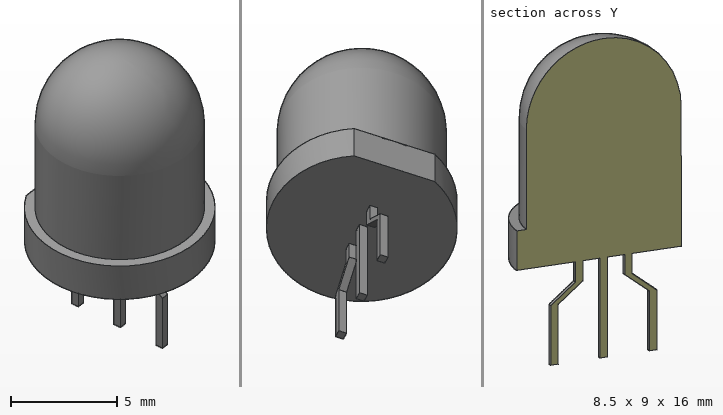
import cadquery as cq

lens_diameter = 8.0
lens_radius = lens_diameter / 2
flange_radius = 4.5
flange_height = 2.0
dome_base_z = 7.0
flat_x = -lens_radius

lead_width = 0.4
lead_length = 5.0
root_pitch = 1.27
tip_pitch = 2.54
crank_top_z = -1.0
crank_bottom_z = -2.0


def make_lens():
    """Cylinder closed by a hemispherical dome, revolved about Z."""
    dome_top_z = dome_base_z + lens_radius
    return (
        cq.Workplane("XZ")
        .lineTo(lens_radius, 0)
        .lineTo(lens_radius, dome_base_z)
        .tangentArcPoint((0, dome_top_z), relative=False)
        .close()
        .revolve(360, (0, 0, 0), (0, 1, 0))
    )


def make_flange():
    """Round flange cut straight on its -X side."""
    disc = cq.Workplane("XY").circle(flange_radius).extrude(flange_height)
    keep_length = flange_radius - flat_x
    keep = (
        cq.Workplane("XY")
        .box(keep_length, 2 * flange_radius, flange_height, centered=(False, True, False))
        .translate((flat_x, 0, 0))
    )
    return disc.intersect(keep)


def make_lead(root_x, tip_x):
    """Square lead hanging from the flange, shifting from root_x to tip_x at the crank."""
    half = lead_width / 2
    centerline = [(root_x, 0), (root_x, crank_top_z), (tip_x, crank_bottom_z), (tip_x, -lead_length)]
    left_edge = [(x - half, z) for x, z in centerline]
    right_edge = [(x + half, z) for x, z in reversed(centerline)]
    return cq.Workplane("XZ").polyline(left_edge + right_edge).close().extrude(half, both=True)


result = make_lens().union(make_flange())
for side in (-1, 0, 1):
    result = result.union(make_lead(side * root_pitch, side * tip_pitch))
result = result.clean()